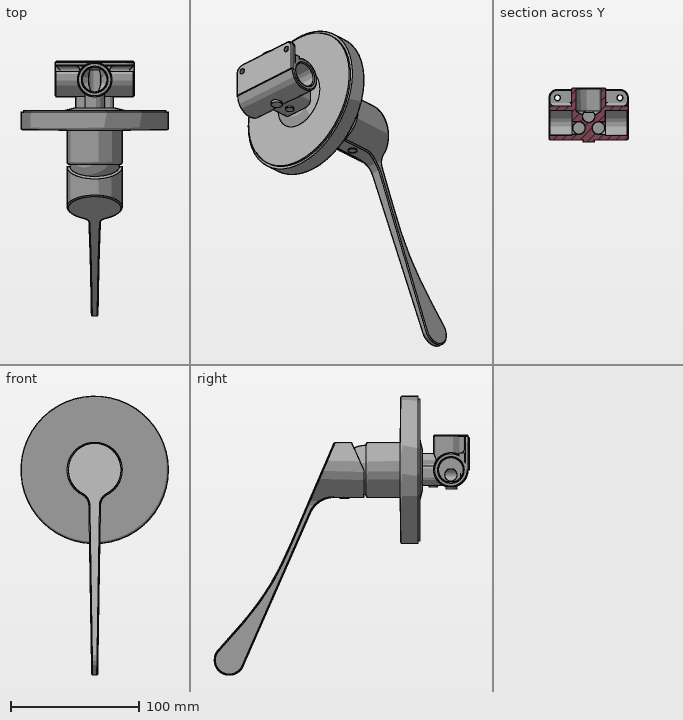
import cadquery as cq
import math


OVERALL_HEIGHT = 217.2

PLATE_DIAMETER = 115.0
PLATE_RADIUS = PLATE_DIAMETER / 2
PLATE_THICKNESS = 13.7
PLATE_EDGE_ROUND = 1.5
PLATE_FRONT_RISE = 0.5
LIP_RADIUS = 55.5
LIP_BACK_Y = 15.2

SLEEVE_RADIUS = 21.5
SLEEVE_FRONT_Y = -27.0
SLEEVE_EDGE_ROUND = 1.7
CAP_RADIUS = 19.3
CAP_DOME_Y = -27.4

HEAD_BACK_Y = -28.7
RELIEF_TOP_Y = -38.2
FACE_TOP_Y = -51.7
FACE_END_Y = -85.4
FACE_END_Z = -56.7
SCREW_COVER_Y = -43.7
SCREW_COVER_RADIUS = 3.5
SCREW_COVER_HEIGHT = 0.75

PAD_OVERLAP = 2.2

TIP_RADIUS = 11.7
TIP_Y = -133.4
LEVER_BOTTOM_Z = PLATE_RADIUS - OVERALL_HEIGHT
TIP_Z = LEVER_BOTTOM_Z + TIP_RADIUS
UNDERSIDE_RUN = 0.44
LEVER_SLOPE = math.atan(UNDERSIDE_RUN)
TIP_FACE_SLOPE = math.radians(42.6)
UNDERSIDE_ROUND = 19.5
BEND_Y = -100.0
BEND_Z = -86.7
LEVER_EDGE_CHAMFER = 0.9
LEVER_ROOT_HALF_WIDTH = 4.5
LEVER_TIP_HALF_WIDTH = 2.4
ROOT_FILLET = 9.8

PORT_Y = 39.0
BARREL_RADIUS = 13.5
BARREL_HALF_LENGTH = 30.8
UPPER_PORT_TOP = 27.4
RIM_CHAMFER = 0.9
BORE_RADIUS = 9.5
BORE_CHAMFER = 0.9
SIDE_BORE_DEPTH = 17.8
UPPER_BORE_FLOOR_Z = 9.1
DRILL_POINT_DEPTH = 5.6

FLANGE_BACK_Y = 53.5
FLANGE_THICKNESS = 3.7
FLANGE_TOP = 26.0
FLANGE_CORNER = 6.5
FLANGE_EDGE_CHAMFER = 1.0
FLANGE_FRONT_CHAMFER = 0.7
FLANGE_HOLE_RADIUS = 2.2
PORT_WEB_FILLET = 3.3
SHELF_FRONT_Y = 45.5
SHELF_TOP = 13.3
SHELF_FILLET = 3.3

NECK_HALF_WIDTH = 14.8
NECK_BOTTOM = -12.2
NECK_CORNER = 6.3
NECK_SHOULDER_Z = 3.0
NECK_SHOULDER_ROUND = 3.0
CROWN_RADIUS = 7.5
CROWN_Z = 5.2
CROWN_FILLET = 1.7
CHANNEL_RADIUS = 4.8
CHANNEL_FRONT_Y = 19.5
CHANNEL_BACK_Y = 46.7
SIDE_CHANNEL_X = 7.5
SIDE_CHANNEL_Z = -4.0
FOOT_LARGE_RADIUS = 23.0
FOOT_SMALL_RADIUS = 15.2
FOOT_BACK_Y = 17.2

PADS = [(39.5, 4.3, -15.0), (25.5, 3.3, -13.5)]


def cylinder(start, axis, radius, length):
    """A cylinder that starts at the centre of its first end and runs along the axis."""
    return cq.Workplane(cq.Solid.makeCylinder(radius, length, cq.Vector(*start), cq.Vector(*axis)))


def box(x_range, y_range, z_range):
    """A box between pairs of limits."""
    ranges = (x_range, y_range, z_range)
    sizes = [high - low for low, high in ranges]
    return cq.Workplane().box(*sizes, centered=False).translate([low for low, _ in ranges])


def make_plate():
    """Round cover plate with a slightly conical front and a stepped back lip."""
    return (
        cq.Workplane("XY")
        .moveTo(0, -PLATE_FRONT_RISE)
        .lineTo(SLEEVE_RADIUS, -PLATE_FRONT_RISE)
        .lineTo(PLATE_RADIUS - PLATE_EDGE_ROUND, 0)
        .radiusArc((PLATE_RADIUS, PLATE_EDGE_ROUND), -PLATE_EDGE_ROUND)
        .lineTo(PLATE_RADIUS, PLATE_THICKNESS)
        .lineTo(LIP_RADIUS, PLATE_THICKNESS)
        .lineTo(LIP_RADIUS, LIP_BACK_Y)
        .lineTo(0, LIP_BACK_Y)
        .close()
        .revolve(360, (0, 0), (0, 1))
    )


def make_sleeve():
    """Plain sleeve on the front of the cover plate."""
    length = -PLATE_FRONT_RISE - SLEEVE_FRONT_Y
    sleeve = cylinder((0, -PLATE_FRONT_RISE, 0), (0, -1, 0), SLEEVE_RADIUS, length)
    return sleeve.faces("<Y").edges().fillet(SLEEVE_EDGE_ROUND)


def make_cap():
    """Domed cartridge cap: a short cylinder and a half sphere that sits in the handle."""
    return (
        cq.Workplane("XY")
        .moveTo(0, SLEEVE_FRONT_Y)
        .lineTo(CAP_RADIUS, SLEEVE_FRONT_Y)
        .lineTo(CAP_RADIUS, CAP_DOME_Y)
        .radiusArc((0, CAP_DOME_Y - CAP_RADIUS), CAP_RADIUS)
        .close()
        .revolve(360, (0, 0), (0, 1))
    )


def handle_side_profile():
    """Side outline of the head and lever in the YZ plane, extruded across the head."""
    tip_under = (TIP_Y + TIP_RADIUS * math.cos(LEVER_SLOPE), TIP_Z - TIP_RADIUS * math.sin(LEVER_SLOPE))
    tip_over = (
        TIP_Y - TIP_RADIUS * math.cos(TIP_FACE_SLOPE),
        TIP_Z + TIP_RADIUS * math.sin(TIP_FACE_SLOPE),
    )
    corner_z = -SLEEVE_RADIUS
    corner_y = tip_under[0] + (corner_z - tip_under[1]) * math.tan(LEVER_SLOPE)
    tangent = UNDERSIDE_ROUND * math.tan((math.pi / 2 - LEVER_SLOPE) / 2)
    round_end = (
        corner_y - tangent * math.sin(LEVER_SLOPE),
        corner_z - tangent * math.cos(LEVER_SLOPE),
    )
    face_direction = (FACE_END_Y - FACE_TOP_Y, FACE_END_Z - SLEEVE_RADIUS)
    tip_direction = (-math.sin(TIP_FACE_SLOPE), -math.cos(TIP_FACE_SLOPE))
    return (
        cq.Workplane("YZ", origin=(-SLEEVE_RADIUS, 0, 0))
        .moveTo(HEAD_BACK_Y, 0)
        .lineTo(RELIEF_TOP_Y, SLEEVE_RADIUS)
        .lineTo(FACE_TOP_Y, SLEEVE_RADIUS)
        .lineTo(FACE_END_Y, FACE_END_Z)
        .spline(
            [(BEND_Y, BEND_Z), tip_over],
            tangents=[face_direction, None, tip_direction],
            includeCurrent=True,
        )
        .threePointArc((TIP_Y, LEVER_BOTTOM_Z), tip_under)
        .lineTo(*round_end)
        .tangentArcPoint((corner_y + tangent, corner_z), relative=False)
        .lineTo(HEAD_BACK_Y, corner_z)
        .close()
        .extrude(2 * SLEEVE_RADIUS)
    )


def handle_front_profile():
    """Front outline in the XZ plane: round head, filleted root and tapering lever, extruded along Y."""
    fillet_x = LEVER_ROOT_HALF_WIDTH + ROOT_FILLET
    fillet_distance = SLEEVE_RADIUS + ROOT_FILLET
    fillet_z = -math.sqrt(fillet_distance**2 - fillet_x**2)
    touch_x = fillet_x * SLEEVE_RADIUS / fillet_distance
    touch_z = fillet_z * SLEEVE_RADIUS / fillet_distance
    depth = HEAD_BACK_Y - TIP_Y + TIP_RADIUS
    return (
        cq.Workplane("XZ", origin=(0, HEAD_BACK_Y, 0))
        .moveTo(-touch_x, touch_z)
        .threePointArc((0, SLEEVE_RADIUS), (touch_x, touch_z))
        .radiusArc((LEVER_ROOT_HALF_WIDTH, fillet_z), -ROOT_FILLET)
        .lineTo(LEVER_TIP_HALF_WIDTH, LEVER_BOTTOM_Z)
        .lineTo(-LEVER_TIP_HALF_WIDTH, LEVER_BOTTOM_Z)
        .lineTo(-LEVER_ROOT_HALF_WIDTH, fillet_z)
        .radiusArc((-touch_x, touch_z), -ROOT_FILLET)
        .close()
        .extrude(depth)
    )


def make_handle(cap):
    """Handle with its lever, a recess that fits the cap and a screw cover underneath."""
    handle = handle_front_profile().intersect(handle_side_profile())
    cover_bottom = (0, SCREW_COVER_Y, -SLEEVE_RADIUS - SCREW_COVER_HEIGHT)
    cover_length = SCREW_COVER_HEIGHT + PAD_OVERLAP
    cover = cylinder(cover_bottom, (0, 0, 1), SCREW_COVER_RADIUS, cover_length)
    bend_point = cq.selectors.NearestToPointSelector((0, BEND_Y, BEND_Z))
    handle = handle.faces(bend_point).edges("not #X").chamfer(LEVER_EDGE_CHAMFER)
    return handle.union(cover).cut(cap)


def make_flange():
    """Flat mounting flange with rounded upper corners, a filleted shelf and two screw holes."""
    front_y = FLANGE_BACK_Y - FLANGE_THICKNESS
    span = (-BARREL_HALF_LENGTH, BARREL_HALF_LENGTH)
    flange = box(span, (front_y, FLANGE_BACK_Y), (0, FLANGE_TOP))
    flange = flange.edges("|Y and >Z").fillet(FLANGE_CORNER)
    flange = flange.faces(">Y").edges("not <Z").chamfer(FLANGE_EDGE_CHAMFER)
    flange = flange.faces("<Y").edges("not <Z").chamfer(FLANGE_FRONT_CHAMFER)
    shelf = box(span, (SHELF_FRONT_Y, front_y), (0, SHELF_TOP))
    flange = flange.union(shelf)
    inner_corner = cq.selectors.NearestToPointSelector((0, front_y, SHELF_TOP))
    flange = flange.edges(inner_corner).fillet(SHELF_FILLET)
    for side in (-1, 1):
        hole_start = (side * (BARREL_HALF_LENGTH - FLANGE_CORNER), front_y, FLANGE_TOP - FLANGE_CORNER)
        flange = flange.cut(cylinder(hole_start, (0, 1, 0), FLANGE_HOLE_RADIUS, FLANGE_THICKNESS))
    return flange


def make_neck():
    """Neck with rounded lower corners, an arched crown and a conical foot on the cover plate."""
    length = PORT_Y - LIP_BACK_Y
    sides = (-NECK_HALF_WIDTH, NECK_HALF_WIDTH)
    neck = box(sides, (LIP_BACK_Y, PORT_Y), (NECK_BOTTOM, NECK_SHOULDER_Z))
    neck = neck.edges("|Y and <Z").fillet(NECK_CORNER)
    neck = neck.edges("|Y and >Z").fillet(NECK_SHOULDER_ROUND)
    crown = cylinder((0, LIP_BACK_Y, CROWN_Z), (0, 1, 0), CROWN_RADIUS, length)
    foot = cq.Workplane(
        cq.Solid.makeCone(
            FOOT_LARGE_RADIUS,
            FOOT_SMALL_RADIUS,
            FOOT_BACK_Y - LIP_BACK_Y,
            cq.Vector(0, LIP_BACK_Y, 0),
            cq.Vector(0, 1, 0),
        )
    )
    neck = neck.union(crown)
    for side in (-1, 1):
        crease = (side * CROWN_RADIUS, (PORT_Y + LIP_BACK_Y) / 2, NECK_SHOULDER_Z)
        neck = neck.edges(cq.selectors.NearestToPointSelector(crease)).fillet(CROWN_FILLET)
    return neck.union(foot)


def water_channel(x, z):
    """A channel along Y from the neck to the ports."""
    length = CHANNEL_BACK_Y - CHANNEL_FRONT_Y
    return cylinder((x, CHANNEL_FRONT_Y, z), (0, 1, 0), CHANNEL_RADIUS, length)


def rim_countersink(start, axis):
    """A tapered cutter that bevels the mouth of a port bore."""
    mouth_radius = BORE_RADIUS + BORE_CHAMFER
    cone = cq.Solid.makeCone(mouth_radius, BORE_RADIUS, BORE_CHAMFER, cq.Vector(*start), cq.Vector(*axis))
    return cq.Workplane(cone)


def cut_side_port(body, side):
    """Cut one side port, the hole in its floor and the channel which that hole reaches."""
    end_x = side * BARREL_HALF_LENGTH
    inward = (-side, 0, 0)
    mouth = (end_x, PORT_Y, 0)
    bore = cylinder(mouth, inward, BORE_RADIUS, SIDE_BORE_DEPTH).union(rim_countersink(mouth, inward))
    inlet_length = BARREL_HALF_LENGTH - SIDE_CHANNEL_X
    inlet = cylinder((end_x, PORT_Y, SIDE_CHANNEL_Z), inward, CHANNEL_RADIUS, inlet_length)
    channel = water_channel(side * SIDE_CHANNEL_X, SIDE_CHANNEL_Z)
    return body.cut(bore).cut(inlet).cut(channel)


def cut_upper_port(body):
    """Cut the upper port with its drill point and the central channel."""
    depth = UPPER_PORT_TOP - UPPER_BORE_FLOOR_Z
    mouth = (0, PORT_Y, UPPER_PORT_TOP)
    downward = (0, 0, -1)
    bore = cylinder(mouth, downward, BORE_RADIUS, depth).union(rim_countersink(mouth, downward))
    floor_centre = cq.Vector(0, PORT_Y, UPPER_BORE_FLOOR_Z)
    point = cq.Solid.makeCone(BORE_RADIUS, 0, DRILL_POINT_DEPTH, floor_centre, cq.Vector(*downward))
    return body.cut(bore).cut(cq.Workplane(point)).cut(water_channel(0, CROWN_Z))


def make_port_web():
    """Filleted web that blends the upper port into the front of the flange."""
    front_y = FLANGE_BACK_Y - FLANGE_THICKNESS
    fillet_y = front_y - PORT_WEB_FILLET
    fillet_distance = BARREL_RADIUS + PORT_WEB_FILLET
    fillet_x = math.sqrt(fillet_distance**2 - (fillet_y - PORT_Y) ** 2)
    touch_x = fillet_x * BARREL_RADIUS / fillet_distance
    touch_y = PORT_Y + (fillet_y - PORT_Y) * BARREL_RADIUS / fillet_distance
    return (
        cq.Workplane("XY")
        .moveTo(-touch_x, touch_y)
        .radiusArc((-fillet_x, front_y), -PORT_WEB_FILLET)
        .lineTo(fillet_x, front_y)
        .radiusArc((touch_x, touch_y), -PORT_WEB_FILLET)
        .close()
        .extrude(FLANGE_TOP)
    )


def make_valve_body():
    """Valve body: barrel, upper port, mounting flange, neck and pads, with the ports cut in."""
    barrel_start = (-BARREL_HALF_LENGTH, PORT_Y, 0)
    barrel = cylinder(barrel_start, (1, 0, 0), BARREL_RADIUS, 2 * BARREL_HALF_LENGTH)
    barrel = barrel.faces("<X or >X").edges().chamfer(RIM_CHAMFER)
    upper_port = cylinder((0, PORT_Y, 0), (0, 0, 1), BARREL_RADIUS, UPPER_PORT_TOP)
    upper_port = upper_port.faces(">Z").edges().chamfer(RIM_CHAMFER)
    body = barrel.union(upper_port).union(make_flange()).union(make_port_web()).union(make_neck())
    for pad_y, pad_radius, pad_bottom in PADS:
        pad_length = NECK_BOTTOM + PAD_OVERLAP - pad_bottom
        body = body.union(cylinder((0, pad_y, pad_bottom), (0, 0, 1), pad_radius, pad_length))
    for side in (-1, 1):
        body = cut_side_port(body, side)
    return cut_upper_port(body)


plate = make_plate()
sleeve = make_sleeve()
cap = make_cap()
handle = make_handle(cap)
valve_body = make_valve_body()

result = cq.Compound.makeCompound([plate.val(), sleeve.val(), cap.val(), handle.val(), valve_body.val()])